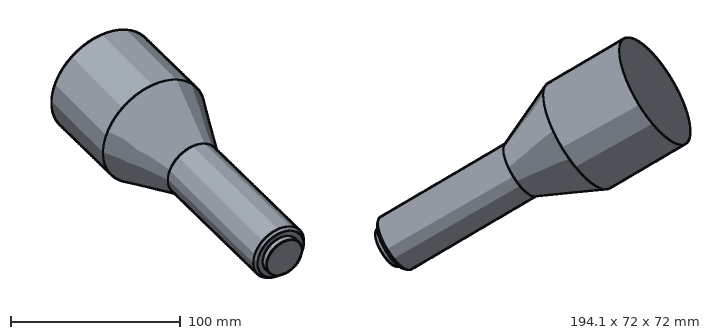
import cadquery as cq

total_length = 194.1
head_length = 55.1
taper_length = 42.0
tip_length = 4.0
shaft_end = total_length - tip_length

head_diameter = 72.0
shaft_diameter = head_diameter / 2
tip_diameter = 25.2

shaft_chamfer_length = 2.0
shaft_chamfer_depth = 1.7
tip_chamfer = 0.2


def cylinder_along_x(start, end, diameter):
    """Solid cylinder on the X axis between two stations."""
    return cq.Workplane("YZ", origin=(start, 0, 0)).circle(diameter / 2).extrude(end - start)


def taper_along_x(start, length, start_diameter, end_diameter):
    """Solid truncated cone on the X axis."""
    cone = cq.Solid.makeCone(
        start_diameter / 2,
        end_diameter / 2,
        length,
        pnt=cq.Vector(start, 0, 0),
        dir=cq.Vector(1, 0, 0),
    )
    return cq.Workplane(cone)


head = cylinder_along_x(0, head_length, head_diameter)
taper = taper_along_x(head_length, taper_length, head_diameter, shaft_diameter)

shaft_chamfer_start = shaft_end - shaft_chamfer_length
shaft = cylinder_along_x(head_length + taper_length, shaft_chamfer_start, shaft_diameter)
shaft_chamfer = taper_along_x(
    shaft_chamfer_start,
    shaft_chamfer_length,
    shaft_diameter,
    shaft_diameter - 2 * shaft_chamfer_depth,
)

tip = cylinder_along_x(shaft_end, total_length, tip_diameter)
tip = tip.faces(">X").chamfer(tip_chamfer)

result = head.union(taper).union(shaft).union(shaft_chamfer).union(tip)